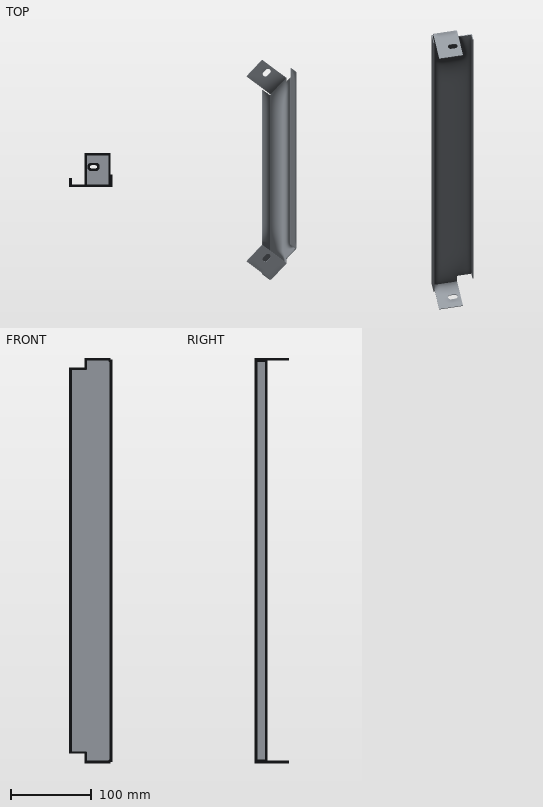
import cadquery as cq

width = 51.0
depth = 39.92
height = 501.0
thickness = 1.0

left_flange_depth = 9.0
right_flange_depth = 13.25

notch_width = 19.0
notch_height = 12.0

corner_relief = 2.0

slot_length = 12.0
slot_width = 7.0
slot_center_x = 29.0
slot_center_y = 24.0

tab_width = width - notch_width - corner_relief
left_flange_height = height - 2 * notch_height
right_flange_height = height - 2 * corner_relief


def upright_block(x_start, size_x, size_y, size_z):
    """Box starting at x_start, with its front on Y = 0 and centred in Z."""
    box = cq.Workplane("XY").box(size_x, size_y, size_z, centered=(False, False, True))
    return box.translate((x_start, 0, 0))


def make_web():
    """Flat front sheet, with its corners notched."""
    left_part = upright_block(0, notch_width, thickness, left_flange_height)
    middle_part = upright_block(notch_width, tab_width, thickness, height)
    right_part = upright_block(width - corner_relief, corner_relief, thickness, right_flange_height)
    return left_part.union(middle_part).union(right_part)


def make_left_flange():
    """Shallow flange folded back along X = 0."""
    return upright_block(0, thickness, left_flange_depth, left_flange_height)


def make_right_flange():
    """Deeper flange folded back along X = width."""
    return upright_block(width - thickness, thickness, right_flange_depth, right_flange_height)


def make_end_tab(z_center):
    """Tab folded back at one end of the web, with its slot cut through."""
    tab = upright_block(notch_width, tab_width, depth, thickness)
    slot = (
        cq.Workplane("XY", origin=(slot_center_x, slot_center_y, 0))
        .slot2D(slot_length, slot_width)
        .extrude(thickness, both=True)
    )
    return tab.cut(slot).translate((0, 0, z_center))


result = make_web().union(make_left_flange()).union(make_right_flange())
for end in (-1, 1):
    result = result.union(make_end_tab(end * (height - thickness) / 2))